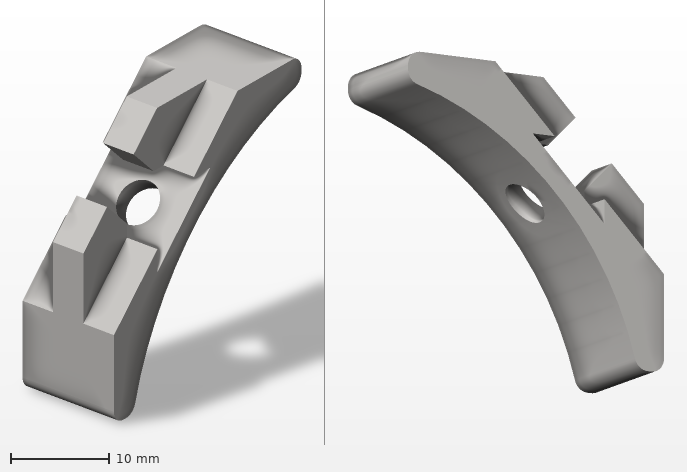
import cadquery as cq
import math

SIZE = 30.28
WIDTH = 12.0
TONGUE_WIDTH = WIDTH / 3
LEG_THICKNESS = 7.02
END_RADIUS = 1.5
HOLE_DIAMETER = 5.0

ARC_RADIUS = 36.58
ARC_CENTER = 38.73

WEB_SUM = 22.55
SHOULDER_SUM = 19.95
TONGUE_SUM = 11.9
TONGUE_GAP = 6.05

arc_end = ARC_CENTER - math.sqrt(ARC_RADIUS**2 - (ARC_CENTER - SIZE)**2)
arc_middle = ARC_CENTER - ARC_RADIUS / math.sqrt(2)
notch_far = WEB_SUM - LEG_THICKNESS
tip_difference = TONGUE_GAP / math.sqrt(2)
tip_far = (TONGUE_SUM + tip_difference) / 2
tip_near = (TONGUE_SUM - tip_difference) / 2
tongue_root = LEG_THICKNESS + tip_difference


def yz(along, depth):
    """Point at distance `along` from the front flat and `depth` below the top flat."""
    return (along, SIZE - depth)


def extrude_centered(outline, width):
    """Extrude a closed YZ outline symmetrically about X = 0."""
    return outline.close().extrude(width / 2, both=True)


def make_body():
    """Two full-width legs joined by the web, with rounded ends."""
    outline = (
        cq.Workplane("YZ")
        .moveTo(*yz(SIZE, 0))
        .lineTo(*yz(SHOULDER_SUM, 0))
        .lineTo(*yz(SHOULDER_SUM - LEG_THICKNESS, LEG_THICKNESS))
        .lineTo(*yz(notch_far, LEG_THICKNESS))
        .lineTo(*yz(LEG_THICKNESS, notch_far))
        .lineTo(*yz(LEG_THICKNESS, SHOULDER_SUM - LEG_THICKNESS))
        .lineTo(*yz(0, SHOULDER_SUM))
        .lineTo(*yz(0, SIZE))
        .lineTo(*yz(arc_end, SIZE))
        .threePointArc(yz(arc_middle, arc_middle), yz(SIZE, arc_end))
    )
    body = extrude_centered(outline, WIDTH)
    leg_ends = body.faces("<Z or >Y").edges("|X")
    return body.newObject(leg_ends.vals()).fillet(END_RADIUS)


def make_tongue(place):
    """Pointed tongue on one leg; `place` maps (far, near) distances to a YZ point."""
    outline = cq.Workplane("YZ").polyline([
        place(SHOULDER_SUM, 0),
        place(TONGUE_SUM, 0),
        place(tip_far, tip_near),
        place(tongue_root, LEG_THICKNESS),
        place(SHOULDER_SUM - LEG_THICKNESS, LEG_THICKNESS),
    ])
    return extrude_centered(outline, TONGUE_WIDTH)


def make_hole():
    """Cylinder through the web, square to its diagonal seat."""
    seat_y, seat_z = yz(WEB_SUM / 2, WEB_SUM / 2)
    seat = cq.Plane(origin=(0, seat_y, seat_z), xDir=(1, 0, 0), normal=(0, 1, -1))
    return cq.Workplane(seat).circle(HOLE_DIAMETER / 2).extrude(LEG_THICKNESS, both=True)


upper_tongue = make_tongue(yz)
lower_tongue = make_tongue(lambda far, near: yz(near, far))

result = make_body().union(upper_tongue).union(lower_tongue).cut(make_hole())